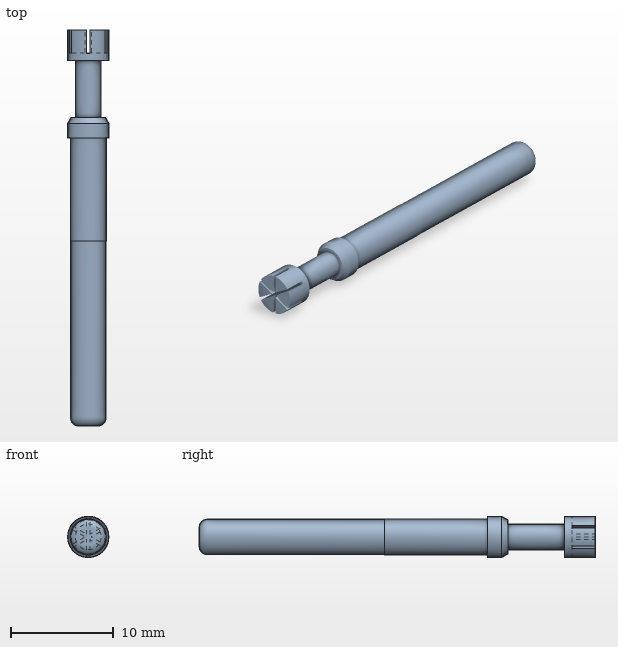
import cadquery as cq
import math

overall_length = 38.5
head_length = 3.0
collar_start = 8.5
collar_end = 10.5
sleeve_end = 20.5

head_diameter = 4.0
neck_diameter = 2.5
collar_diameter = 4.0
sleeve_diameter = 3.5
barrel_diameter = 3.44

collar_chamfer_length = 0.6
collar_chamfer_angle = math.radians(30)
collar_chamfer_depth = collar_chamfer_length * math.tan(collar_chamfer_angle)
tip_fillet = 0.8

slot_count = 3
slot_spacing = 180 / slot_count
slot_width = 0.3
slot_depth = 2.25

slotted_end_y = overall_length / 2


def cylinder_section(diameter, start, end):
    """Solid cylinder on the Y axis between two stations from the slotted end."""
    plane = cq.Workplane("XZ", origin=(0, slotted_end_y - start, 0))
    return plane.circle(diameter / 2).extrude(end - start)


def collar():
    """Collar with its neck-side rim chamfered."""
    plain = cylinder_section(collar_diameter, collar_start, collar_end)
    return plain.faces(">Y").edges().chamfer(collar_chamfer_length, collar_chamfer_depth)


def barrel():
    """Long barrel whose free end has a rounded rim."""
    plain = cylinder_section(barrel_diameter, sleeve_end, overall_length)
    return plain.faces("<Y").edges().fillet(tip_fillet)


def head_slot(angle):
    """Slot across the head, upright at angle zero and turned about the pin axis."""
    slot = cq.Workplane("XY").box(slot_width, slot_depth, head_diameter)
    slot = slot.translate((0, slotted_end_y - slot_depth / 2, 0))
    return slot.rotate((0, 0, 0), (0, 1, 0), angle)


def slotted_head():
    """Cylindrical head split by evenly spaced diametral slots."""
    head = cylinder_section(head_diameter, 0, head_length)
    for index in range(slot_count):
        head = head.cut(head_slot(index * slot_spacing))
    return head


neck = cylinder_section(neck_diameter, head_length, collar_start)
sleeve = cylinder_section(sleeve_diameter, collar_end, sleeve_end)

result = slotted_head().union(neck).union(collar()).union(sleeve).union(barrel())